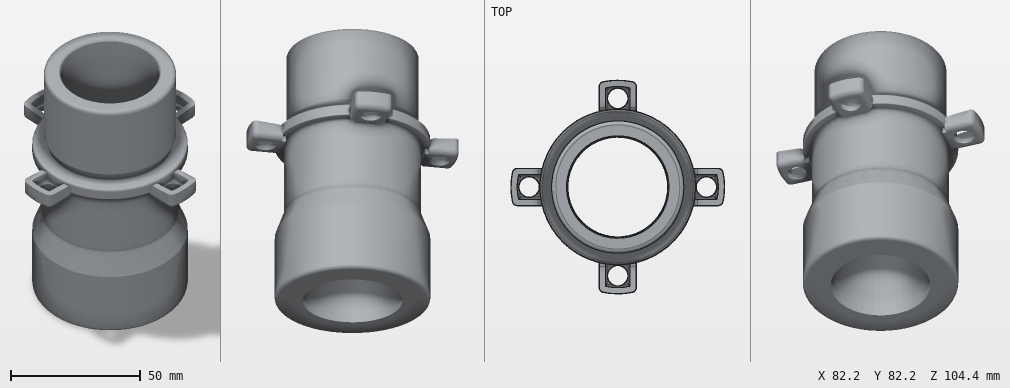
import cadquery as cq
import math

total_height = 104.4
bore_radius = 19.2

spigot_radius = 25.5
spigot_bottom_z = 74.0
spigot_rim_fillet = 1.6
bore_rim_chamfer = 0.5
neck_radius = 24.1
neck_top_z = 70.6
flange_radius = 30.0
flange_top_z = 69.8
flange_bottom_z = 65.1
flange_top_fillet = 0.9
flange_bottom_fillet = 0.3
neck_root_fillet = 0.4
tube_root_fillet = 0.7

tube_radius = 26.4
cone_top_z = 36.6
socket_radius = flange_radius
socket_top_z = 26.9
socket_rim_fillet = 1.4
joint_z = flange_bottom_z - tube_root_fillet

lug_count = 4
lug_tip_radius = 41.1
lug_width = 14.4
lug_inner_x = 28.8
lug_bottom_z = 62.8
lug_tip_z = 69.9
lug_top_slope = 5.3
lug_corner_x = 40.2
lug_corner_fillet = 2.1
lug_bottom_fillet = 2.0
lug_inner_fillet = 2.0
lug_wall = 2.4
pocket_fillet = 0.9
pocket_corner_x = 38.1
bolt_hole_diameter = 7.8
bolt_circle_radius = 34.1
foot_inner_x = 27.4
foot_width = lug_width - 2 * lug_bottom_fillet


def fillet_point(center_x, center_z, radius, angle):
    """Point on a fillet arc in the radial (r, z) plane, angle in degrees."""
    turn = math.radians(angle)
    return (center_x + radius * math.cos(turn), center_z + radius * math.sin(turn))


def make_head():
    """Spigot standing on a flange, bored through, ending at the joint with the tail."""
    upper_root_z = flange_top_z + neck_root_fillet
    upper_root_radius = neck_radius + neck_root_fillet
    lower_root_radius = tube_radius + tube_root_fillet
    upper_root_mid = fillet_point(upper_root_radius, upper_root_z, neck_root_fillet, 225)
    lower_root_mid = fillet_point(lower_root_radius, joint_z, tube_root_fillet, 135)
    profile = (
        cq.Workplane("XZ")
        .moveTo(bore_radius, joint_z)
        .lineTo(tube_radius, joint_z)
        .threePointArc(lower_root_mid, (lower_root_radius, flange_bottom_z))
        .lineTo(flange_radius, flange_bottom_z)
        .lineTo(flange_radius, flange_top_z)
        .lineTo(upper_root_radius, flange_top_z)
        .threePointArc(upper_root_mid, (neck_radius, upper_root_z))
        .lineTo(neck_radius, neck_top_z)
        .lineTo(spigot_radius, spigot_bottom_z)
        .lineTo(spigot_radius, total_height)
        .lineTo(bore_radius, total_height)
        .close()
    )
    head = profile.revolve(360, (0, 0, 0), (0, 1, 0))
    head = round_rim(head, spigot_radius, total_height, spigot_rim_fillet)
    head = round_rim(head, flange_radius, flange_top_z, flange_top_fillet)
    head = round_rim(head, flange_radius, flange_bottom_z, flange_bottom_fillet)
    inner_rim = cq.selectors.RadiusNthSelector(0)
    return head.faces(">Z").edges(inner_rim).chamfer(bore_rim_chamfer)


def round_rim(body, radius, z, fillet):
    """Fillet the circular edge of the given radius at height z."""
    margin = 0.1
    reach = radius + margin
    rim = cq.selectors.BoxSelector(
        (-reach, -reach, z - margin), (reach, reach, z + margin), boundingbox=True
    )
    return body.edges(rim).edges(cq.selectors.RadiusNthSelector(-1)).fillet(fillet)


def make_tail():
    """Tube that widens through a cone into the socket."""
    tail = (
        cq.Workplane("XZ")
        .moveTo(bore_radius, 0)
        .lineTo(socket_radius, 0)
        .lineTo(socket_radius, socket_top_z)
        .lineTo(tube_radius, cone_top_z)
        .lineTo(tube_radius, joint_z)
        .lineTo(bore_radius, joint_z)
        .close()
        .revolve(360, (0, 0, 0), (0, 1, 0))
    )
    return round_rim(tail, socket_radius, 0, socket_rim_fillet)


def lug_blank():
    """Outer shape of a lug with its sloping top and rounded edges."""
    half = lug_width / 2
    blank = (
        cq.Workplane("XY")
        .workplane(offset=lug_bottom_z)
        .moveTo(lug_inner_x, -half)
        .lineTo(lug_corner_x, -half)
        .threePointArc((lug_tip_radius, 0), (lug_corner_x, half))
        .lineTo(lug_inner_x, half)
        .close()
        .extrude(lug_tip_z - lug_bottom_z)
    )
    blank = blank.edges("|Z").edges(">X").fillet(lug_corner_fillet)
    blank = blank.faces("<Z").edges("not(<X)").fillet(lug_bottom_fillet)
    length = lug_tip_radius - lug_inner_x
    drop = length * math.tan(math.radians(lug_top_slope))
    slope_waste = (
        cq.Workplane("XZ")
        .moveTo(lug_inner_x, lug_tip_z)
        .lineTo(lug_tip_radius, lug_tip_z)
        .lineTo(lug_inner_x, lug_tip_z - drop)
        .close()
        .extrude(lug_width, both=True)
    )
    blank = blank.cut(slope_waste)
    return blank.faces("<X").edges(">Z").fillet(lug_inner_fillet)


def lug_foot():
    """Narrow foot that reaches inward beneath the flange."""
    foot_length = lug_inner_x - foot_inner_x
    foot_height = flange_bottom_z - lug_bottom_z
    return (
        cq.Workplane("XY")
        .box(foot_length, foot_width, foot_height, centered=(False, True, False))
        .translate((foot_inner_x, 0, lug_bottom_z))
    )


def lug_pocket():
    """Space inside a lug, with an arched outer end and a rounded floor edge."""
    half = lug_width / 2 - lug_wall
    pocket = (
        cq.Workplane("XY")
        .workplane(offset=flange_bottom_z)
        .moveTo(foot_inner_x, -half)
        .lineTo(pocket_corner_x, -half)
        .threePointArc((lug_tip_radius - lug_wall, 0), (pocket_corner_x, half))
        .lineTo(foot_inner_x, half)
        .close()
        .extrude(lug_tip_z - flange_bottom_z)
    )
    return pocket.faces("<Z").edges("not(<X)").fillet(pocket_fillet)


def make_lug(head):
    """Open-topped lug on the +X side, shaped to seat against the flange."""
    bolt_hole = (
        cq.Workplane("XY")
        .center(bolt_circle_radius, 0)
        .circle(bolt_hole_diameter / 2)
        .extrude(total_height)
    )
    return lug_blank().cut(lug_pocket()).union(lug_foot()).cut(bolt_hole).cut(head)


head = make_head()
tail = make_tail()
first_lug = make_lug(head)
lugs = []
for index in range(lug_count):
    lug = first_lug.rotate((0, 0, 0), (0, 0, 1), index * 360 / lug_count)
    lugs.append(lug.solids().val())

result = cq.Compound.makeCompound([head.val(), tail.val(), *lugs])